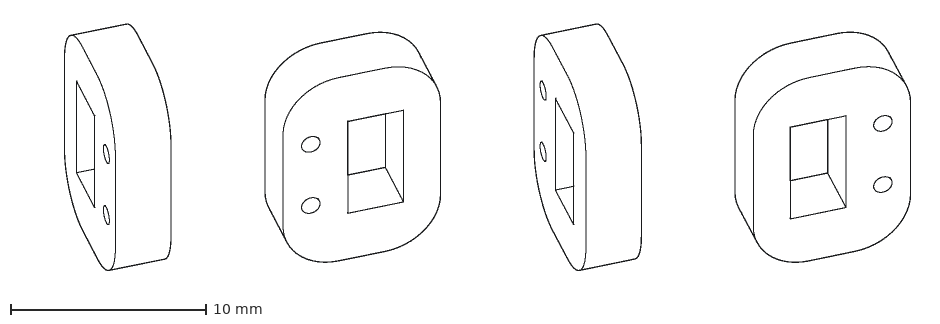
import cadquery as cq

height = 12.0
width = 8.5
thickness = height / 4
corner_radius = height / 4

window_width = 3.0
window_height = height / 2
window_margin = 2.0
window_x = -width / 2 + window_margin + window_width / 2

hole_diameter = 1.0
hole_spacing = height / 3
hole_margin = 1.5
hole_x = width / 2 - hole_margin


def make_plate():
    """Plate with rounded corners, centred on the origin."""
    plate = cq.Workplane("XY").box(width, thickness, height)
    return plate.edges("|Y").fillet(corner_radius)


def make_window():
    """Cutter for the rectangular through window."""
    window = cq.Workplane("XY").box(window_width, thickness, window_height)
    return window.translate((window_x, 0, 0))


def make_holes():
    """Cutters for the two round through holes."""
    centres = [(hole_x, side * hole_spacing / 2) for side in (-1, 1)]
    sketch = cq.Workplane("XZ").pushPoints(centres).circle(hole_diameter / 2)
    return sketch.extrude(thickness / 2, both=True)


result = make_plate().cut(make_window()).cut(make_holes())